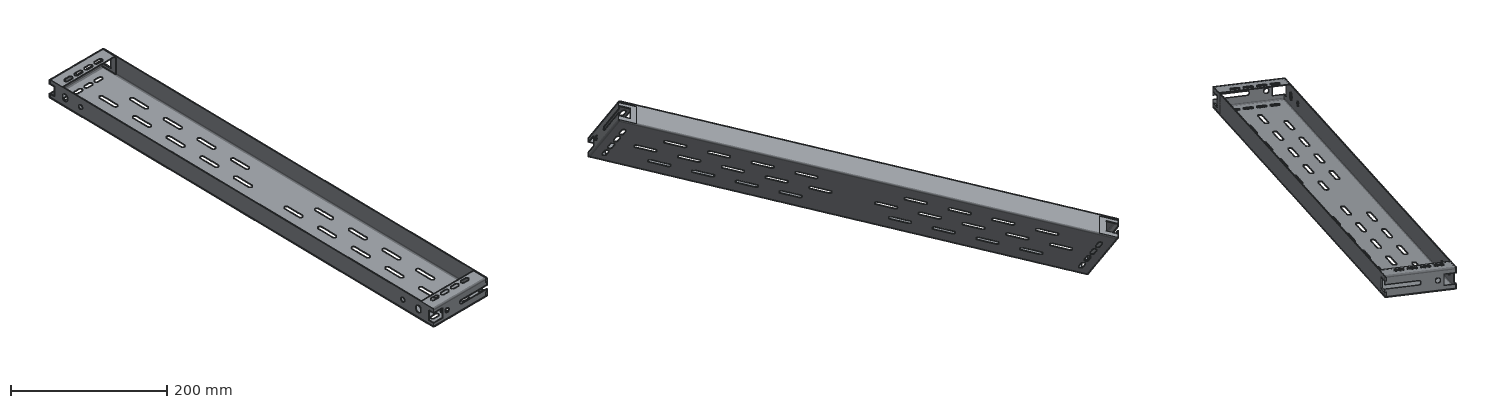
import cadquery as cq

LENGTH = 699.0
WIDTH = 96.5
HEIGHT = 30.0
SHEET = 1.2
BEND_RADIUS = 1.6
INNER_BEND_RADIUS = BEND_RADIUS - SHEET

FLANGE_LENGTH = 23.5

TAB_LENGTH = 25.6
TAB_CLEARANCE = 1.0

SLOT_WIDTH = 6.0
HOLE_DIAMETER = 7.0

FLOOR_SLOT_LENGTH = 32.0
FLOOR_SLOT_PITCH = 61.2
FLOOR_ROW_SPACING = 25.0
INNER_SLOT_X = 0.75 * FLOOR_SLOT_PITCH
MIDDLE_ROW_COUNT = 5
OUTER_ROW_COUNT = MIDDLE_ROW_COUNT - 1

CROSS_SLOT_LENGTH = 13.5
CROSS_SLOT_PITCH = 18.0
CROSS_SLOT_COUNT = 4
CROSS_SLOT_INSET = 16.3
CROSS_ROW_Y = -3.0

CORNER_NOTCH_HEIGHT = 15.5
DEEP_NOTCH = 16.7
SHALLOW_NOTCH = 9.0
END_SLOT_DEPTH = 48.7
END_HOLE_INSET = 24.8
FRONT_WINDOW_WIDTH = 9.0
FRONT_WINDOW_HEIGHT = 11.3
FRONT_WINDOW_INSET = 28.2
FRONT_HOLE_INSET = 56.5

END_X = LENGTH / 2
SIDE_Y = WIDTH / 2
TOP_Z = HEIGHT / 2
CUT_DEPTH = 4.0


def block(x_range, y_range, z_range):
    """Box spanning the given pairs of limits, in either order."""
    ranges = (x_range, y_range, z_range)
    sizes = [abs(high - low) for low, high in ranges]
    centre = tuple((low + high) / 2 for low, high in ranges)
    return cq.Workplane("XY").box(*sizes).translate(centre)


def folded_tray():
    """Open tray with rounded floor bends and a return flange at each end."""
    outer = cq.Workplane("XY").box(LENGTH, WIDTH, HEIGHT)
    outer = outer.edges("<Z or (>Z and |Y)").fillet(BEND_RADIUS)
    cavity = cq.Workplane("XY").box(LENGTH - 2 * SHEET, WIDTH - 2 * SHEET, HEIGHT - 2 * SHEET)
    cavity = cavity.edges("<Z or (>Z and |Y)").fillet(INNER_BEND_RADIUS)
    opening_x = END_X - FLANGE_LENGTH
    opening_y = SIDE_Y - SHEET
    opening = block((-opening_x, opening_x), (-opening_y, opening_y), (0, TOP_Z))
    return outer.cut(cavity).cut(opening)


def back_tab(side):
    """Tab of one end wall, lying against the inside of the back wall."""
    tab_z = TOP_Z - SHEET - TAB_CLEARANCE
    x_range = (side * (END_X - SHEET), side * (END_X - TAB_LENGTH))
    return block(x_range, (SIDE_Y - 2 * SHEET, SIDE_Y - SHEET), (-tab_z, tab_z))


def floor_slots():
    """Three staggered rows of slots, mirrored about the middle of the tray."""
    staggered_x = INNER_SLOT_X + FLOOR_SLOT_PITCH / 2
    rows = (
        (-FLOOR_ROW_SPACING, OUTER_ROW_COUNT, staggered_x),
        (0, MIDDLE_ROW_COUNT, INNER_SLOT_X),
        (FLOOR_ROW_SPACING, OUTER_ROW_COUNT, staggered_x),
    )
    points = [
        (side * (first_x + i * FLOOR_SLOT_PITCH), y)
        for y, count, first_x in rows
        for i in range(count)
        for side in (-1, 1)
    ]
    plane = cq.Workplane("XY").workplane(offset=-TOP_Z).pushPoints(points)
    return plane.slot2D(FLOOR_SLOT_LENGTH, SLOT_WIDTH).extrude(CUT_DEPTH)


def cross_slots(side):
    """Row of slots through one end flange and the floor under it."""
    x = side * (END_X - CROSS_SLOT_INSET)
    first_y = CROSS_ROW_Y - (CROSS_SLOT_COUNT - 1) / 2 * CROSS_SLOT_PITCH
    points = [(x, first_y + i * CROSS_SLOT_PITCH) for i in range(CROSS_SLOT_COUNT)]
    plane = cq.Workplane("XY").pushPoints(points)
    return plane.slot2D(CROSS_SLOT_LENGTH, SLOT_WIDTH, 90).extrude(TOP_Z, both=True)


def end_wall_openings(side):
    """Front corner notch, round hole and open-ended slot of one end wall."""
    inner_x = side * (END_X - CUT_DEPTH)
    x_range = (side * END_X, inner_x)
    notch_z = CORNER_NOTCH_HEIGHT / 2
    slot_z = SLOT_WIDTH / 2
    notch = block(x_range, (-SIDE_Y, -SIDE_Y + DEEP_NOTCH), (-notch_z, notch_z))
    slot_end_y = SIDE_Y - END_SLOT_DEPTH + slot_z
    slot = block(x_range, (slot_end_y, SIDE_Y), (-slot_z, slot_z))
    plane = cq.Workplane("YZ").workplane(offset=inner_x)
    slot_end = plane.center(slot_end_y, 0).circle(slot_z).extrude(side * CUT_DEPTH)
    hole = plane.center(-SIDE_Y + END_HOLE_INSET, 0)
    hole = hole.circle(HOLE_DIAMETER / 2).extrude(side * CUT_DEPTH)
    return notch.union(slot).union(slot_end).union(hole)


def side_wall_openings(side):
    """Corner notches of both side walls, and the front wall's window and hole."""
    notch_z = CORNER_NOTCH_HEIGHT / 2
    back_range = (side * (END_X - SHEET), side * (END_X - DEEP_NOTCH))
    openings = block(back_range, (SIDE_Y - CUT_DEPTH, SIDE_Y), (-notch_z, notch_z))
    front_range = (side * END_X, side * (END_X - SHALLOW_NOTCH))
    front_y = (-SIDE_Y, -SIDE_Y + CUT_DEPTH)
    openings = openings.union(block(front_range, front_y, (-notch_z, notch_z)))
    front = cq.Workplane("XZ").workplane(offset=SIDE_Y - CUT_DEPTH)
    window = front.center(side * (END_X - FRONT_WINDOW_INSET), 0)
    window = window.slot2D(FRONT_WINDOW_HEIGHT, FRONT_WINDOW_WIDTH, 90).extrude(CUT_DEPTH)
    hole = front.center(side * (END_X - FRONT_HOLE_INSET), 0)
    hole = hole.circle(HOLE_DIAMETER / 2).extrude(CUT_DEPTH)
    return openings.union(window).union(hole)


result = folded_tray()
for end_side in (-1, 1):
    result = result.union(back_tab(end_side))
result = result.cut(floor_slots())
for end_side in (-1, 1):
    result = result.cut(cross_slots(end_side))
    result = result.cut(end_wall_openings(end_side))
    result = result.cut(side_wall_openings(end_side))